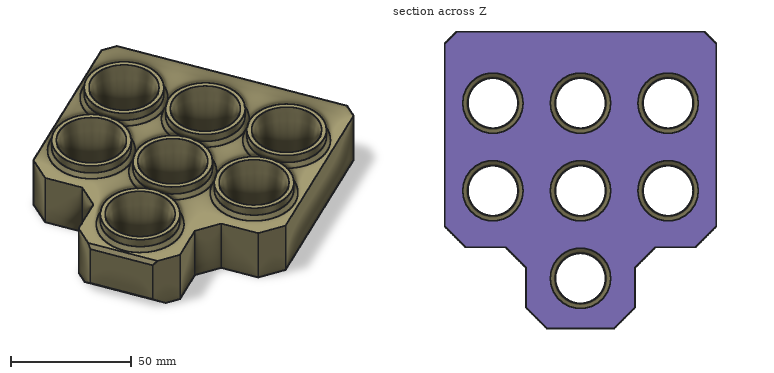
import cadquery as cq

width = 112.9
depth = 123.4
block_height = 24.2
total_height = 29.7
back_corner = 4.9
front_corner = 8.8
inner_corner = 8.4
nose_width = 45.4
nose_length = 33.7
nose_top_bevel = 1.6
nose_bottom_bevel = 4.2

pitch = 36.4
front_socket_y = 20.8
bore_top_radius = 14.5
bore_bottom_radius = 10.4
rim_radius = 16.5
flare_height = 1.7
flare_radius = rim_radius + flare_height
rim_root = block_height / 2

socket_centers = [(0, front_socket_y)]
for row in (1, 2):
    for column in (-1, 0, 1):
        socket_centers.append((column * pitch, front_socket_y + row * pitch))


def make_block():
    """Stepped plate with beveled corners; its nose ends at y = 0."""
    half_width = width / 2
    half_nose = nose_width / 2
    right_side = [
        (half_nose - front_corner, 0),
        (half_nose, front_corner),
        (half_nose, nose_length - inner_corner),
        (half_nose + inner_corner, nose_length),
        (half_width - front_corner, nose_length),
        (half_width, nose_length + front_corner),
        (half_width, depth - back_corner),
        (half_width - back_corner, depth),
    ]
    left_side = [(-x, y) for x, y in reversed(right_side)]
    return cq.Workplane("XY").polyline(right_side + left_side).close().extrude(block_height)


def make_nose_bevel(edge_z, bevel):
    """Wedge along the nose front edge, reaching down from edge_z if bevel is negative."""
    size = abs(bevel)
    return (
        cq.Workplane("YZ")
        .polyline([(0, edge_z), (size, edge_z), (0, edge_z + bevel)])
        .close()
        .extrude(nose_width / 2, both=True)
    )


def make_rim():
    """Raised collar with a conical foot, centered on the Z axis."""
    flare_top = block_height + flare_height
    profile = [
        (0, rim_root),
        (flare_radius, rim_root),
        (flare_radius, block_height),
        (rim_radius, flare_top),
        (rim_radius, total_height),
        (0, total_height),
    ]
    return cq.Workplane("XZ").polyline(profile).close().revolve(360, (0, 0), (0, 1))


def make_bore():
    """Cone through the full height, wider at the top."""
    profile = [
        (0, 0),
        (bore_bottom_radius, 0),
        (bore_top_radius, total_height),
        (0, total_height),
    ]
    return cq.Workplane("XZ").polyline(profile).close().revolve(360, (0, 0), (0, 1))


result = make_block()
result = result.cut(make_nose_bevel(block_height, -nose_top_bevel))
result = result.cut(make_nose_bevel(0, nose_bottom_bevel))

for x, y in socket_centers:
    result = result.union(make_rim().translate((x, y, 0)))
for x, y in socket_centers:
    result = result.cut(make_bore().translate((x, y, 0)))